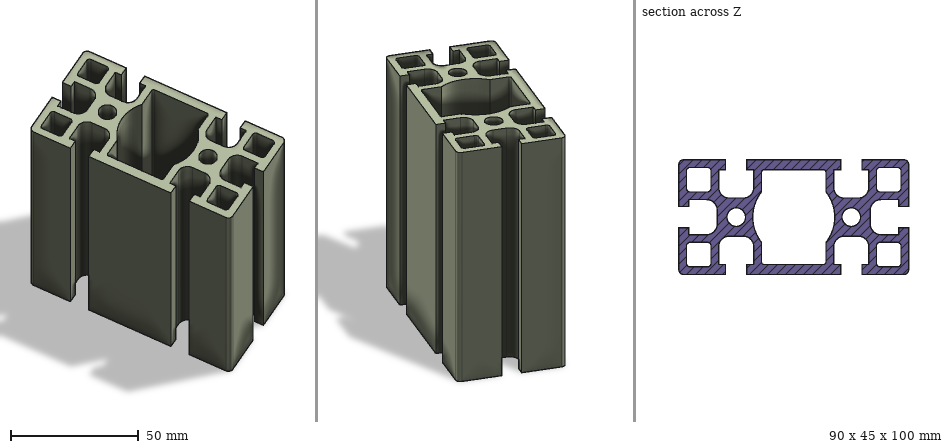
import cadquery as cq

module = 45.0
width = 2 * module
length = 100.0
outer_radius = 2.0

slot_opening = 8.2
slot_inner_width = 13.6
slot_depth = 15.0
lip_thickness = 4.0
slot_floor_radius = 4.0

bore_diameter = 7.2

cell_side = 9.5
cell_wall = 3.1
cell_radius = 1.3

cavity_width = 25.1
cavity_height = module - 2 * lip_thickness
cavity_radius = 0.9
cavity_bore_diameter = 32.0

module_x = module / 2
half_depth = module / 2
slot_placements = [
    (-module_x, half_depth, 0),
    (module_x, half_depth, 0),
    (-module_x, -half_depth, 180),
    (module_x, -half_depth, 180),
    (-width / 2, 0, 90),
    (width / 2, 0, -90),
]


def make_block():
    """Solid bar with rounded long edges, standing on Z = 0."""
    block = cq.Workplane("XY").box(width, module, length, centered=(True, True, False))
    return block.edges("|Z").fillet(outer_radius)


def make_slot():
    """T-slot cutter with its mouth on the X axis, reaching toward -Y."""
    chamber_depth = slot_depth - lip_thickness
    mouth = (
        cq.Workplane("XY")
        .center(0, -lip_thickness / 2)
        .rect(slot_opening, lip_thickness)
        .extrude(length)
    )
    chamber = (
        cq.Workplane("XY")
        .center(0, -lip_thickness - chamber_depth / 2)
        .rect(slot_inner_width, chamber_depth)
        .extrude(length)
        .edges("|Z and <Y")
        .fillet(slot_floor_radius)
    )
    return mouth.union(chamber)


def make_cells():
    """Rounded square cutters for the four corner cells."""
    edge_to_centre = cell_wall + cell_side / 2
    return (
        cq.Workplane("XY")
        .rect(width - 2 * edge_to_centre, module - 2 * edge_to_centre, forConstruction=True)
        .vertices()
        .rect(cell_side, cell_side)
        .extrude(length)
        .edges("|Z")
        .fillet(cell_radius)
    )


def make_cavity():
    """Cutter for the central cavity."""
    chamber = (
        cq.Workplane("XY")
        .rect(cavity_width, cavity_height)
        .extrude(length)
        .edges("|Z")
        .fillet(cavity_radius)
    )
    round_bore = cq.Workplane("XY").circle(cavity_bore_diameter / 2).extrude(length)
    return chamber.union(round_bore)


def make_bores():
    """Cutters for the round bores on the two module axes."""
    return (
        cq.Workplane("XY")
        .pushPoints([(-module_x, 0), (module_x, 0)])
        .circle(bore_diameter / 2)
        .extrude(length)
    )


profile = make_block().cut(make_cells()).cut(make_cavity()).cut(make_bores())

slot = make_slot()
for mouth_x, mouth_y, turn in slot_placements:
    placed_slot = slot.rotate((0, 0, 0), (0, 0, 1), turn).translate((mouth_x, mouth_y, 0))
    profile = profile.cut(placed_slot)

result = profile